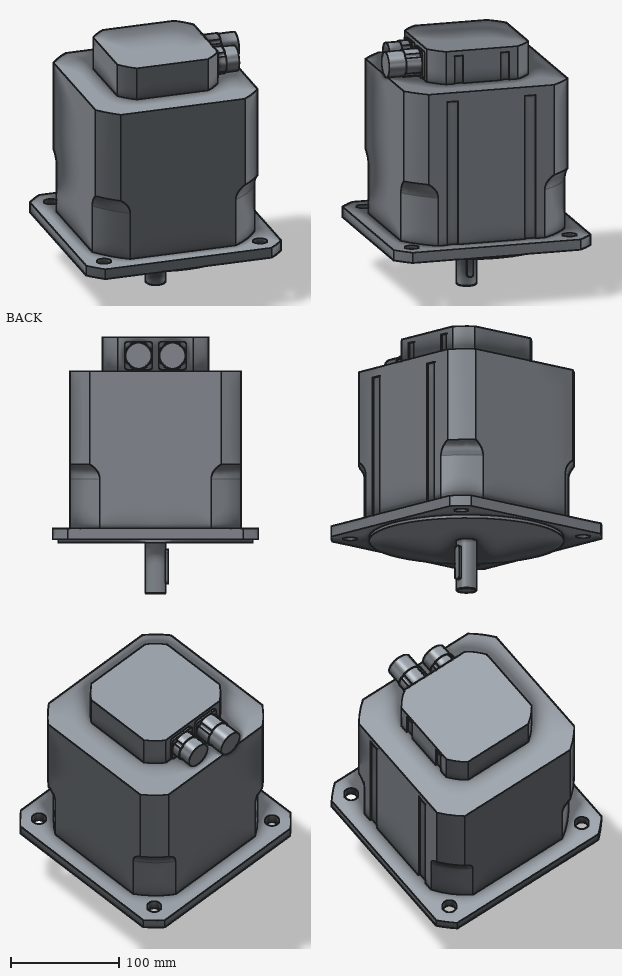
import cadquery as cq
import math

total_height = 237.0
flange_width = 190.0
flange_thickness = 10.0
flange_corner_diameter = 249.8
pilot_diameter = 180.0
pilot_height = 3.0

frame_width = 158.0
frame_height = 145.3
frame_corner_diameter = 199.0

relief_corner_diameter = 188.7
relief_straight_height = 46.0
relief_total_height = 59.2

cap_width = 98.0
cap_height = 31.3
cap_corner_diameter = 120.2

bolt_hole_diameter = 13.3
bolt_hole_spacing = 152.2

groove_depth = 2.0
frame_groove_width = 10.5
frame_groove_spacing = 75.0
frame_groove_top_margin = 8.5
cap_groove_width = 8.0
cap_groove_spacing = 44.5
cap_groove_top_margin = 5.0

shaft_diameter = 19.0
shaft_chamfer = 1.0
shaft_length = total_height - cap_height - frame_height - flange_thickness - pilot_height
key_width = 6.0
key_length = 32.0
key_projection = 2.4
key_start = 6.2

connector_spacing = 31.3
connector_drop = 17.0
collar_diameter = 25.5
base_thickness = 2.4
base_corner_radius = 2.5
barrel_diameter = 24.0
notch_diameter = 4.5
notch_center_radius = 13.3
large_collar_end = 17.3
large_barrel_end = 34.0
small_collar_end = 11.0
small_barrel_end = 23.5

cap_top = frame_height + cap_height
pilot_face = -flange_thickness - pilot_height
shaft_end = pilot_face - shaft_length


def turned_square(width, corner_diameter, bottom, height):
    """Square prism whose corners are turned to a cylinder about the Z axis."""
    prism = cq.Workplane("XY", origin=(0, 0, bottom)).rect(width, width).extrude(height)
    cylinder = cq.Workplane("XY", origin=(0, 0, bottom)).circle(corner_diameter / 2).extrude(height)
    return prism.intersect(cylinder)


def corner_relief():
    """Ring that turns the lower frame corners down and runs out in an arc."""
    inner = relief_corner_diameter / 2
    upper = frame_corner_diameter / 2
    outer = frame_width
    rise = relief_total_height - relief_straight_height
    step = upper - inner
    arc_radius = (rise**2 + step**2) / (2 * step)
    half_angle = math.asin(rise / arc_radius) / 2
    arc_middle = (
        inner + arc_radius * (1 - math.cos(half_angle)),
        relief_straight_height + arc_radius * math.sin(half_angle),
    )
    return (
        cq.Workplane("XZ")
        .moveTo(inner, 0)
        .lineTo(inner, relief_straight_height)
        .threePointArc(arc_middle, (upper, relief_total_height))
        .lineTo(outer, relief_total_height)
        .lineTo(outer, 0)
        .close()
        .revolve(360, (0, 0, 0), (0, 1, 0))
    )


def grooves(face_width, groove_width, spacing, bottom, top):
    """Pair of vertical grooves in the -X face of a square section."""
    return (
        cq.Workplane("XY", origin=(-face_width / 2, 0, bottom))
        .pushPoints([(0, -spacing / 2), (0, spacing / 2)])
        .rect(2 * groove_depth, groove_width)
        .extrude(top - bottom)
    )


def make_flange():
    flange = turned_square(flange_width, flange_corner_diameter, -flange_thickness, flange_thickness)
    pilot = cq.Workplane("XY", origin=(0, 0, pilot_face)).circle(pilot_diameter / 2).extrude(pilot_height)
    bolt_holes = (
        cq.Workplane("XY", origin=(0, 0, pilot_face))
        .rect(bolt_hole_spacing, bolt_hole_spacing, forConstruction=True)
        .vertices()
        .circle(bolt_hole_diameter / 2)
        .extrude(pilot_height + flange_thickness)
    )
    return flange.union(pilot).cut(bolt_holes)


def make_frame():
    groove_top = frame_height - frame_groove_top_margin
    return (
        turned_square(frame_width, frame_corner_diameter, 0, frame_height)
        .cut(corner_relief())
        .cut(grooves(frame_width, frame_groove_width, frame_groove_spacing, 0, groove_top))
    )


def make_cap():
    groove_top = cap_top - cap_groove_top_margin
    cap = turned_square(cap_width, cap_corner_diameter, frame_height, cap_height)
    return cap.cut(grooves(cap_width, cap_groove_width, cap_groove_spacing, frame_height, groove_top))


def make_shaft():
    shaft = (
        cq.Workplane("XY", origin=(0, 0, shaft_end))
        .circle(shaft_diameter / 2)
        .extrude(shaft_length)
        .faces("<Z")
        .chamfer(shaft_chamfer)
    )
    key_middle = pilot_face - key_start - key_length / 2
    key = (
        cq.Workplane("YZ", origin=(0, 0, key_middle))
        .slot2D(key_length, key_width, 90)
        .extrude(-(shaft_diameter / 2 + key_projection))
    )
    return shaft.union(key)


def make_motor():
    return make_flange().union(make_frame()).union(make_cap()).union(make_shaft())


def make_connector(axis_x, collar_end, barrel_end):
    """Square base, notched round collar and plain barrel, pointing along +Y."""
    def section(start):
        origin = (axis_x, cap_width / 2 + start, cap_top - connector_drop)
        return cq.Workplane("XZ", origin=origin)

    base = (
        section(0)
        .rect(collar_diameter, collar_diameter)
        .extrude(-base_thickness)
        .edges("|Y")
        .fillet(base_corner_radius)
    )
    collar_length = collar_end - base_thickness
    collar = section(base_thickness).circle(collar_diameter / 2).extrude(-collar_length)
    notches = (
        section(base_thickness)
        .polarArray(notch_center_radius, 45, 360, 4)
        .circle(notch_diameter / 2)
        .extrude(-collar_length)
    )
    barrel = section(collar_end).circle(barrel_diameter / 2).extrude(-(barrel_end - collar_end))
    return base.union(collar.cut(notches)).union(barrel)


motor = make_motor()
connectors = [
    make_connector(axis_x, collar_end, barrel_end)
    for axis_x, collar_end, barrel_end in [
        (-connector_spacing / 2, large_collar_end, large_barrel_end),
        (connector_spacing / 2, small_collar_end, small_barrel_end),
    ]
]

result = cq.Compound.makeCompound([motor.val(), *[connector.val() for connector in connectors]])